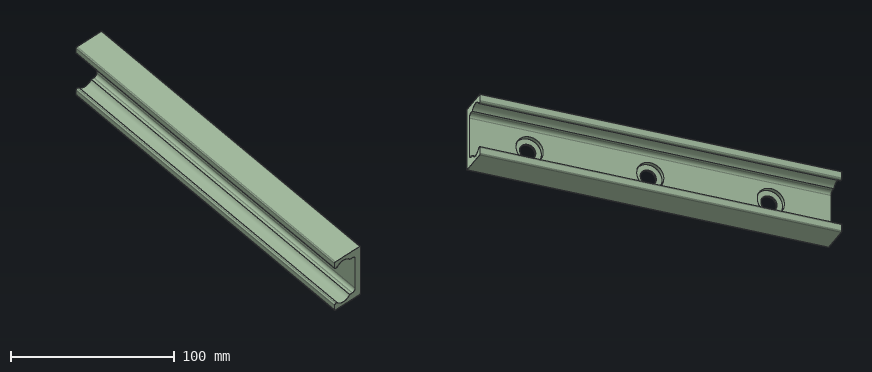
import cadquery as cq
import math

LENGTH = 240.0
DEPTH = 21.0
HEIGHT = 43.0
WEB_THICKNESS = 4.3
OUTER_EDGE_RADIUS = 0.7

CHANNEL_HALF_HEIGHT = 15.5
CHANNEL_CORNER_RADIUS = 2.5
LIP_RADIUS = 1.0

GROOVE_RADIUS = 6.0
GROOVE_BOTTOM = 18.5
GROOVE_FROM_BACK = 14.0

HOLE_COUNT = 3
HOLE_SPACING = LENGTH / HOLE_COUNT
HOLE_DIAMETER = 10.5
BORE_DIAMETER = 18.0
BORE_DEPTH = 3.0

BACK_Y = DEPTH / 2
FRONT_Y = -DEPTH / 2
WEB_FACE_Y = BACK_Y - WEB_THICKNESS


def make_body():
    """Solid bar with slightly rounded long edges."""
    return cq.Workplane("XY").box(LENGTH, DEPTH, HEIGHT).edges("|X").fillet(OUTER_EDGE_RADIUS)


def make_channel():
    """Open channel with rounded inner corners and lips that flare at the mouth."""
    flare_start_y = FRONT_Y + LIP_RADIUS
    corner_y = WEB_FACE_Y - CHANNEL_CORNER_RADIUS
    corner_z = CHANNEL_HALF_HEIGHT - CHANNEL_CORNER_RADIUS
    mouth_z = CHANNEL_HALF_HEIGHT + LIP_RADIUS
    arc_mid = math.sqrt(0.5)
    corner_mid_y = corner_y + CHANNEL_CORNER_RADIUS * arc_mid
    corner_mid_z = corner_z + CHANNEL_CORNER_RADIUS * arc_mid
    lip_mid_y = flare_start_y - LIP_RADIUS * arc_mid
    lip_mid_z = mouth_z - LIP_RADIUS * arc_mid
    return (
        cq.Workplane("YZ", origin=(-LENGTH / 2, 0, 0))
        .moveTo(FRONT_Y, -mouth_z)
        .threePointArc((lip_mid_y, -lip_mid_z), (flare_start_y, -CHANNEL_HALF_HEIGHT))
        .lineTo(corner_y, -CHANNEL_HALF_HEIGHT)
        .threePointArc((corner_mid_y, -corner_mid_z), (WEB_FACE_Y, -corner_z))
        .lineTo(WEB_FACE_Y, corner_z)
        .threePointArc((corner_mid_y, corner_mid_z), (corner_y, CHANNEL_HALF_HEIGHT))
        .lineTo(flare_start_y, CHANNEL_HALF_HEIGHT)
        .threePointArc((lip_mid_y, lip_mid_z), (FRONT_Y, mouth_z))
        .close()
        .extrude(LENGTH)
    )


def make_grooves():
    """Pair of round grooves along the full length."""
    groove_y = BACK_Y - GROOVE_FROM_BACK
    groove_z = GROOVE_BOTTOM - GROOVE_RADIUS
    return (
        cq.Workplane("YZ", origin=(-LENGTH / 2, 0, 0))
        .pushPoints([(groove_y, groove_z), (groove_y, -groove_z)])
        .circle(GROOVE_RADIUS)
        .extrude(LENGTH)
    )


def drill_mounting_holes(rail):
    """Row of through holes counterbored from the channel side of the web."""
    return (
        rail.copyWorkplane(cq.Workplane("XZ", origin=(0, WEB_FACE_Y, 0)))
        .rarray(HOLE_SPACING, 2.5, HOLE_COUNT, 1)
        .cboreHole(HOLE_DIAMETER, BORE_DIAMETER, BORE_DEPTH)
    )


rail = make_body().cut(make_channel()).cut(make_grooves())
result = drill_mounting_holes(rail)